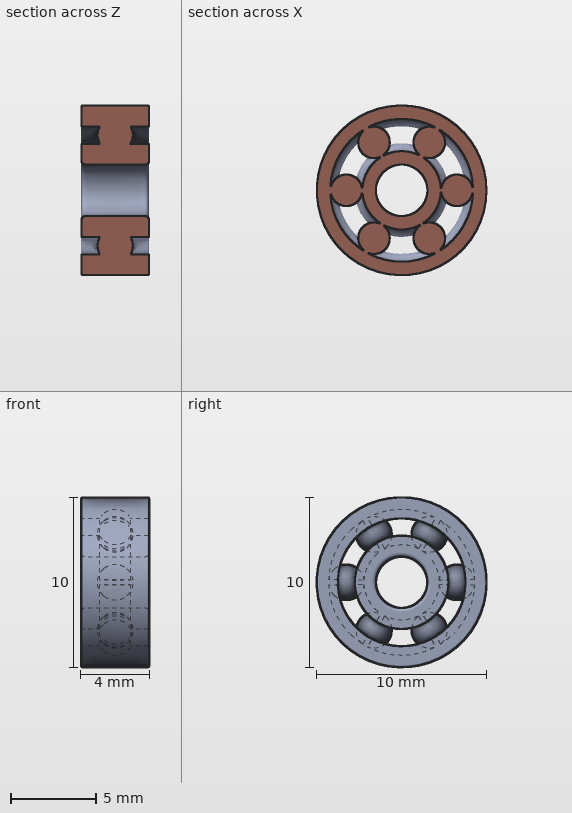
import cadquery as cq

outer_diameter = 10.0
bore_diameter = 3.0
width = 4.0

outer_ring_inner_radius = 3.75
inner_ring_outer_radius = 2.75
outer_edge_fillet = 0.12
bore_edge_fillet = 0.25
gap_edge_fillet = 0.06

ball_count = 6
ball_radius = 1.05
pitch_radius = (outer_ring_inner_radius + inner_ring_outer_radius) / 2

ball_overlap = 0.01
raceway_radius = ball_radius - ball_overlap


def ring(outer_radius, inner_radius, outer_fillet, inner_fillet):
    """Ring along X with separate edge fillets on its outer and inner walls."""
    base = cq.Workplane("YZ", origin=(-width / 2, 0, 0))
    outside = base.circle(outer_radius).extrude(width).edges("%CIRCLE").fillet(outer_fillet)
    ring_body = outside.cut(base.circle(inner_radius).extrude(width))
    bore_edges = ring_body.faces("<X or >X").edges(cq.selectors.RadiusNthSelector(0))
    return ring_body.newObject(bore_edges.vals()).fillet(inner_fillet)


def raceway():
    """Torus around X, used to cut the ball groove into both rings."""
    centre = cq.Vector(0, 0, 0)
    bearing_axis = cq.Vector(1, 0, 0)
    return cq.Workplane(cq.Solid.makeTorus(pitch_radius, raceway_radius, centre, bearing_axis))


def ball(index):
    """Ball on the pitch circle; the first one lies on +Y."""
    sphere = cq.Workplane("XY").sphere(ball_radius).translate((0, pitch_radius, 0))
    return sphere.rotate((0, 0, 0), (1, 0, 0), index * 360 / ball_count)


outer_ring = ring(outer_diameter / 2, outer_ring_inner_radius, outer_edge_fillet, gap_edge_fillet)
inner_ring = ring(inner_ring_outer_radius, bore_diameter / 2, gap_edge_fillet, bore_edge_fillet)

groove = raceway()
result = outer_ring.cut(groove).union(inner_ring.cut(groove))
for index in range(ball_count):
    result = result.union(ball(index))